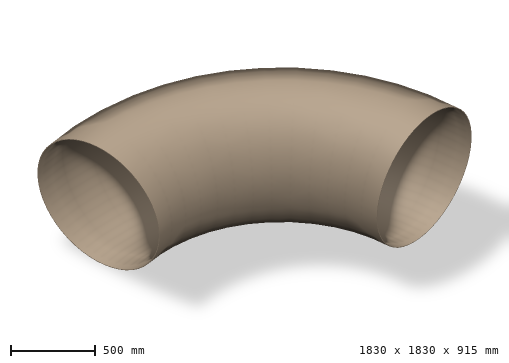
import cadquery as cq


outer_diameter = 915.0
wall_thickness = 5.0
bend_ratio = 1.5
bend_angle = 90.0

outer_radius = outer_diameter / 2
bore_radius = outer_radius - wall_thickness
bend_radius = bend_ratio * outer_diameter

section = (
    cq.Workplane("XZ", origin=(-bend_radius, 0, 0))
    .circle(outer_radius)
    .circle(bore_radius)
)

axis_start = (bend_radius, 0, 0)
axis_end = (bend_radius, -1, 0)

result = section.revolve(bend_angle, axis_start, axis_end)